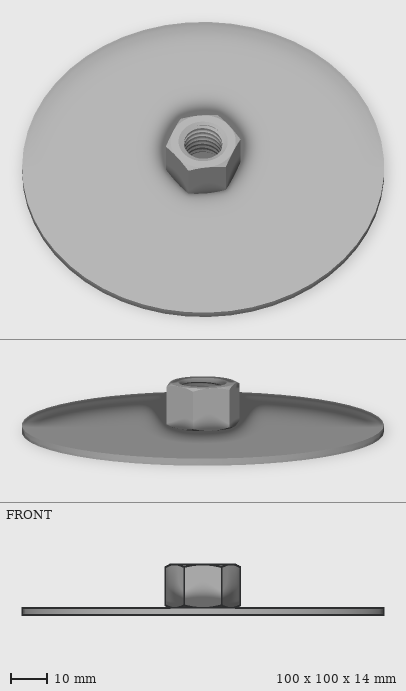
import cadquery as cq
import math

disc_diameter = 100
disc_thickness = 2

nut_across_flats = 18
nut_height = 12
nut_across_corners = nut_across_flats / math.cos(math.radians(30))
corner_chamfer_angle = 28
corner_chamfer_height = (
    (nut_across_corners - nut_across_flats) / 2 * math.tan(math.radians(corner_chamfer_angle))
)

bore_diameter = 10.6
thread_diameter = 12
thread_pitch = 1.8
flank_slope = math.tan(math.radians(30))
root_half_width = thread_pitch / 16
profile_overlap = 0.2
mouth_diameter = 13.6
mouth_angle = 60


def make_hexagon():
    """Hexagonal prism whose corners are turned off conically at both ends."""
    prism = cq.Workplane("XY").polygon(6, nut_across_corners).extrude(nut_height)
    flat_radius = nut_across_flats / 2
    corner_radius = nut_across_corners / 2
    turned_envelope = (
        cq.Workplane("XZ")
        .moveTo(0, 0)
        .lineTo(flat_radius, 0)
        .lineTo(corner_radius, corner_chamfer_height)
        .lineTo(corner_radius, nut_height - corner_chamfer_height)
        .lineTo(flat_radius, nut_height)
        .lineTo(0, nut_height)
        .close()
        .revolve(360, (0, 0, 0), (0, 1, 0))
    )
    return prism.intersect(turned_envelope)


def make_mouth():
    """Cone that widens the bore at the top of the nut."""
    bore_radius = bore_diameter / 2
    mouth_radius = mouth_diameter / 2
    mouth_depth = (mouth_radius - bore_radius) / math.tan(math.radians(mouth_angle))
    return (
        cq.Workplane("XZ")
        .moveTo(0, nut_height - mouth_depth)
        .lineTo(bore_radius, nut_height - mouth_depth)
        .lineTo(mouth_radius, nut_height)
        .lineTo(0, nut_height)
        .close()
        .revolve(360, (0, 0, 0), (0, 1, 0))
    )


def make_thread_groove():
    """Helical groove running through both ends of the nut and trimmed to its height."""
    root_radius = thread_diameter / 2
    inner_radius = bore_diameter / 2 - profile_overlap
    inner_half_width = root_half_width + (root_radius - inner_radius) * flank_slope
    helix = cq.Wire.makeHelix(thread_pitch, nut_height + 2 * thread_pitch, inner_radius)
    groove = (
        cq.Workplane("XZ")
        .moveTo(inner_radius, -inner_half_width)
        .lineTo(root_radius, -root_half_width)
        .lineTo(root_radius, root_half_width)
        .lineTo(inner_radius, inner_half_width)
        .close()
        .sweep(cq.Workplane(obj=helix), isFrenet=True)
    )
    nut_zone = cq.Workplane("XY").circle(nut_across_flats / 2).extrude(nut_height)
    return groove.translate((0, 0, -thread_pitch)).intersect(nut_zone)


bore = cq.Workplane("XY").circle(bore_diameter / 2).extrude(nut_height)
nut = make_hexagon().cut(bore).cut(make_thread_groove()).cut(make_mouth())
disc = cq.Workplane("XY").circle(disc_diameter / 2).extrude(disc_thickness)
result = disc.union(nut.translate((0, 0, disc_thickness)))